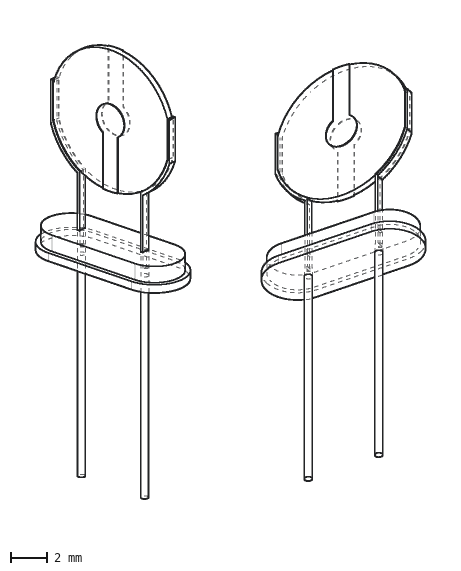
import cadquery as cq
import math

TOTAL_HEIGHT = 26.6
PIN_LENGTH = 13.5

BASE_LENGTH = 10.0
BASE_WIDTH = 4.0
FLANGE_HEIGHT = 0.5
BASE_HEIGHT = 1.5
STEP_INSET = 0.3
FLANGE_TOP = PIN_LENGTH + FLANGE_HEIGHT

PIN_DIAMETER = 0.45
PIN_SPACING = 4.57
CLIP_WIDTH = 0.5
CLIP_THICKNESS = 0.15
CLIP_RIM_THICKNESS = 0.2
CLIP_TOP = 23.59

DISC_DIAMETER = 8.6
ELECTRODE_DIAMETER = 2.02
ELECTRODE_STRIP_WIDTH = 1.06
ELECTRODE_THICKNESS = 0.05

DISC_RADIUS = DISC_DIAMETER / 2
DISC_CENTER_Z = TOTAL_HEIGHT - DISC_RADIUS
DISC_THICKNESS = CLIP_WIDTH - 2 * ELECTRODE_THICKNESS
DISC_BACK_Y = DISC_THICKNESS / 2
DISC_FRONT_Y = -DISC_BACK_Y


def make_clip(side):
    """Strip that rises from the base, follows the disc rim and ends upright on its side."""
    stem_inner = PIN_SPACING / 2 - CLIP_THICKNESS / 2
    stem_outer = stem_inner + CLIP_THICKNESS
    upright_outer = DISC_RADIUS
    upright_inner = upright_outer - CLIP_THICKNESS
    rim_outer_radius = DISC_RADIUS + CLIP_RIM_THICKNESS

    def at(x, z):
        return (side * x, z)

    def rim_point(x, radius):
        """Point at x on the lower half of a circle around the disc center."""
        return at(x, DISC_CENTER_Z - math.sqrt(radius**2 - x**2))

    outer_mid_x = (stem_outer + upright_outer) / 2
    inner_mid_x = (stem_inner + upright_inner) / 2
    return (
        cq.Workplane("XZ", origin=(0, CLIP_WIDTH / 2, 0))
        .moveTo(*at(stem_inner, FLANGE_TOP))
        .lineTo(*at(stem_outer, FLANGE_TOP))
        .lineTo(*rim_point(stem_outer, rim_outer_radius))
        .threePointArc(
            rim_point(outer_mid_x, rim_outer_radius),
            rim_point(upright_outer, rim_outer_radius),
        )
        .lineTo(*at(upright_outer, CLIP_TOP))
        .lineTo(*at(upright_inner, CLIP_TOP))
        .lineTo(*rim_point(upright_inner, DISC_RADIUS))
        .threePointArc(
            rim_point(inner_mid_x, DISC_RADIUS),
            rim_point(stem_inner, DISC_RADIUS),
        )
        .close()
        .extrude(CLIP_WIDTH)
    )


def make_lead(side):
    """Round pin that enters the flange, joined to the clip above it."""
    pin = (
        cq.Workplane("XY")
        .center(side * PIN_SPACING / 2, 0)
        .circle(PIN_DIAMETER / 2)
        .extrude(FLANGE_TOP)
    )
    return pin.union(make_clip(side))


def make_base(leads):
    """Stepped base with openings that match the leads."""
    flange = (
        cq.Workplane("XY", origin=(0, 0, PIN_LENGTH))
        .slot2D(BASE_LENGTH, BASE_WIDTH)
        .extrude(FLANGE_HEIGHT)
    )
    step = (
        cq.Workplane("XY", origin=(0, 0, FLANGE_TOP))
        .slot2D(BASE_LENGTH - 2 * STEP_INSET, BASE_WIDTH - 2 * STEP_INSET)
        .extrude(BASE_HEIGHT - FLANGE_HEIGHT)
    )
    base = flange.union(step)
    for lead in leads:
        base = base.cut(lead)
    return base


def make_electrode(start_y, strip_direction):
    """Round pad at the disc center with a strip down (-1) or up (1) to the rim."""
    plane = cq.Workplane("XZ", origin=(0, start_y, DISC_CENTER_Z))
    pad = plane.circle(ELECTRODE_DIAMETER / 2).extrude(ELECTRODE_THICKNESS)
    strip = (
        plane.center(0, strip_direction * DISC_RADIUS / 2)
        .rect(ELECTRODE_STRIP_WIDTH, DISC_RADIUS)
        .extrude(ELECTRODE_THICKNESS)
    )
    rim = plane.circle(DISC_RADIUS).extrude(ELECTRODE_THICKNESS)
    return pad.union(strip).intersect(rim)


def make_crystal(leads):
    """Disc with its two electrodes, notched at the sides where the clips hold it."""
    disc = (
        cq.Workplane("XZ", origin=(0, DISC_BACK_Y, DISC_CENTER_Z))
        .circle(DISC_RADIUS)
        .extrude(DISC_THICKNESS)
    )
    front_electrode = make_electrode(DISC_FRONT_Y, -1)
    back_electrode = make_electrode(DISC_BACK_Y + ELECTRODE_THICKNESS, 1)
    crystal = disc.union(front_electrode).union(back_electrode)
    for lead in leads:
        crystal = crystal.cut(lead)
    return crystal


leads = [make_lead(side) for side in (-1, 1)]
base = make_base(leads)
crystal = make_crystal(leads)

result = cq.Compound.makeCompound([base.val(), crystal.val(), *[lead.val() for lead in leads]])